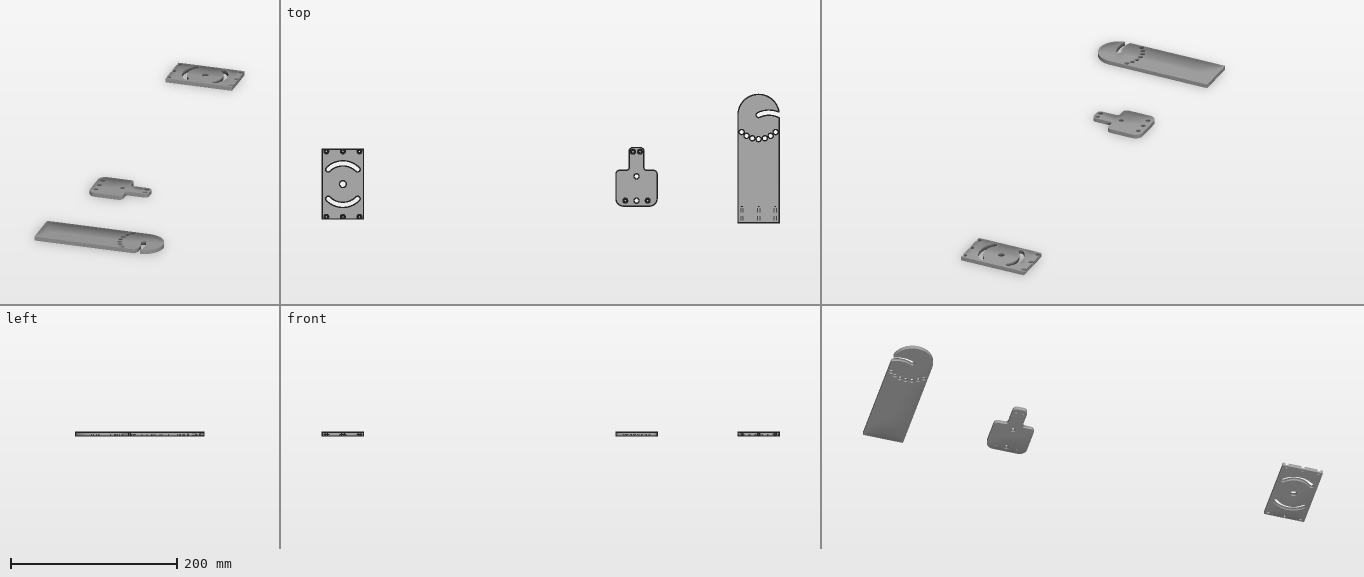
import cadquery as cq
import math

thickness = 5.0
plate_width = 50.0
half_width = plate_width / 2
joint_columns = (-1, 0, 1)
joint_pitch = 20.0
slot_width = 6.0
screw_dia = 3.0
head_dia = 6.0
head_depth = 3.0
cut_margin = 1.0

base_length = 84.0
base_centre_hole_dia = 8.0
base_slot_radius = 25.0
base_slot_half_angle = 45.0
base_screw_edge_gap = thickness / 2

bracket_x = 353.5
bracket_y = -26.7
bracket_body_height = 43.5
bracket_height = 71.0
bracket_tongue_width = 18.0
bracket_lower_radius = 9.5
bracket_shoulder_radius = 5.0
bracket_neck_radius = 3.0
bracket_tip_radius = 5.0
bracket_pin_hole_dia = 6.0
bracket_pivot_y = 36.0
bracket_low_hole_y = 6.8
bracket_low_hole_offset = 13.5
bracket_tongue_hole_y = 65.7
bracket_tongue_hole_offset = 4.25

arm_x = 500.48
arm_y = 83.2
arm_straight_length = 130.0
arm_slot_radius = 29.0
arm_slot_run_out = 5.0
arm_index_radius = 29.0
arm_index_hole_dia = 6.0
arm_index_count = 7
arm_index_step = 15.0
arm_end_hole_dia = 2.8
arm_end_hole_depth = 20.0


def polar(radius, degrees, centre=(0, 0)):
    """Point at an angle on a circle."""
    angle = math.radians(degrees)
    return (centre[0] + radius * math.cos(angle), centre[1] + radius * math.sin(angle))


def holes(points, diameter, bottom=-cut_margin):
    """Vertical cutters from a height up past the top face, one at each point."""
    return (
        cq.Workplane("XY", origin=(0, 0, bottom))
        .pushPoints(points)
        .circle(diameter / 2)
        .extrude(thickness + cut_margin - bottom)
    )


def screw_holes(points):
    """Through-hole cutters with a counterbore in the top face."""
    heads = holes(points, head_dia, bottom=thickness - head_depth)
    return holes(points, screw_dia).union(heads)


def arc_slot(centre, radius, start, end):
    """Round-ended slot cutter whose middle line is an arc from start to end, in degrees."""
    inner = radius - slot_width / 2
    outer = radius + slot_width / 2
    middle = (start + end) / 2
    band = (
        cq.Workplane("XY", origin=(0, 0, -cut_margin))
        .moveTo(*polar(inner, start, centre))
        .threePointArc(polar(inner, middle, centre), polar(inner, end, centre))
        .lineTo(*polar(outer, end, centre))
        .threePointArc(polar(outer, middle, centre), polar(outer, start, centre))
        .close()
        .extrude(thickness + 2 * cut_margin)
    )
    end_points = [polar(radius, start, centre), polar(radius, end, centre)]
    return band.union(holes(end_points, slot_width))


def fillet_corner_pair(plate, x, y, radius):
    """Rounds the upright corner edges at (x, y) and (-x, y)."""
    reach = 0.1
    for corner_x in (-x, x):
        near_corner = cq.selectors.BoxSelector(
            (corner_x - reach, y - reach, -reach),
            (corner_x + reach, y + reach, thickness + reach),
        )
        plate = plate.edges("|Z").edges(near_corner).fillet(radius)
    return plate


def make_base():
    screw_y = base_length / 2 - base_screw_edge_gap
    screw_points = [(column * joint_pitch, y) for column in joint_columns for y in (-screw_y, screw_y)]
    base = (
        cq.Workplane("XY")
        .rect(plate_width, base_length)
        .extrude(thickness)
        .cut(holes([(0, 0)], base_centre_hole_dia))
        .cut(screw_holes(screw_points))
    )
    for direction in (90, 270):
        start = direction - base_slot_half_angle
        end = direction + base_slot_half_angle
        base = base.cut(arc_slot((0, 0), base_slot_radius, start, end))
    return base


def make_bracket():
    half_tongue = bracket_tongue_width / 2
    body = (
        cq.Workplane("XY")
        .rect(plate_width, bracket_body_height)
        .extrude(thickness)
        .translate((0, bracket_body_height / 2, 0))
    )
    tongue = (
        cq.Workplane("XY")
        .rect(bracket_tongue_width, bracket_height)
        .extrude(thickness)
        .translate((0, bracket_height / 2, 0))
    )
    bracket = body.union(tongue).clean()

    bracket = fillet_corner_pair(bracket, half_width, 0, bracket_lower_radius)
    bracket = fillet_corner_pair(bracket, half_width, bracket_body_height, bracket_shoulder_radius)
    bracket = fillet_corner_pair(bracket, half_tongue, bracket_body_height, bracket_neck_radius)
    bracket = fillet_corner_pair(bracket, half_tongue, bracket_height, bracket_tip_radius)

    screw_points = []
    for side in (-1, 1):
        screw_points.append((side * bracket_low_hole_offset, bracket_low_hole_y))
        screw_points.append((side * bracket_tongue_hole_offset, bracket_tongue_hole_y))
    pin_points = [(0, bracket_low_hole_y), (0, bracket_pivot_y)]
    bracket = bracket.cut(screw_holes(screw_points)).cut(holes(pin_points, bracket_pin_hole_dia))
    return bracket.translate((bracket_x, bracket_y, 0))


def arm_hook_slot():
    """Arched slot from the head centre out through the right side at the same height."""
    half_chord = half_width / 2
    drop = math.sqrt(arm_slot_radius**2 - half_chord**2)
    half_angle = math.degrees(math.asin(half_chord / arm_slot_radius))
    start = 90 - half_angle - arm_slot_run_out
    end = 90 + half_angle
    return arc_slot((half_chord, -drop), arm_slot_radius, start, end)


def arm_index_holes():
    """Ring of holes centred below the head centre."""
    first_angle = 270 - arm_index_step * (arm_index_count - 1) / 2
    points = [
        polar(arm_index_radius, first_angle + index * arm_index_step)
        for index in range(arm_index_count)
    ]
    return holes(points, arm_index_hole_dia)


def arm_end_holes():
    """Blind holes bored along Y into the arm's square end, for the base screws."""
    return (
        cq.Workplane("XZ", origin=(0, -arm_straight_length, thickness / 2))
        .pushPoints([(column * joint_pitch, 0) for column in joint_columns])
        .circle(arm_end_hole_dia / 2)
        .extrude(-arm_end_hole_depth)
    )


def make_arm():
    arm = (
        cq.Workplane("XY")
        .moveTo(-half_width, 0)
        .threePointArc((0, half_width), (half_width, 0))
        .lineTo(half_width, -arm_straight_length)
        .lineTo(-half_width, -arm_straight_length)
        .close()
        .extrude(thickness)
        .cut(arm_hook_slot())
        .cut(arm_index_holes())
        .cut(arm_end_holes())
    )
    return arm.translate((arm_x, arm_y, 0))


base = make_base()
bracket = make_bracket()
arm = make_arm()

result = cq.Compound.makeCompound([base.val(), bracket.val(), arm.val()])